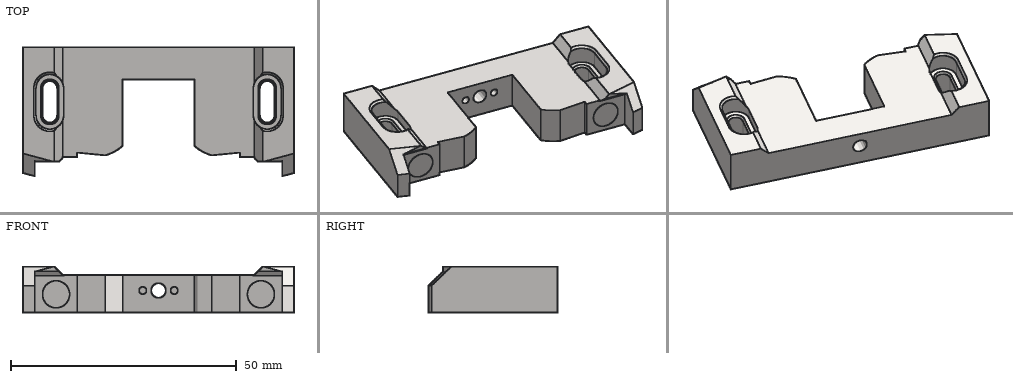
import cadquery as cq
import math

LENGTH = 60.0
DEPTH = 28.6
HEIGHT = 10.2
HALF_LENGTH = LENGTH / 2

PLATE_TOP = 8.4
FRONT_Y = -24.35
STEP_X = -18.0
STEP_Y = -23.4
NOSE_X = -11.75
NOSE_Y = -24.0
NOSE_RADIUS = 10.0
OPENING_HALF_WIDTH = 7.9
OPENING_BACK_Y = -7.2
OPENING_CORNER_Y = -21.9

RAISED_WIDTH = 6.95
LIP_BOTTOM = 8.15
LIP_OVERHANG = 1.0
FINGER_WIDTH = 2.65
FINGER_ANGLE = 15.0
FINGER_CHAMFER = 4.2

SLOT_X = -24.05
SLOT_Y = -12.1
SLOT_CENTRE_DISTANCE = 6.0
SLOT_WIDTH = 3.2
SLOT_CHAMFER = 0.4
RECESS_WIDTH = 6.1
RECESS_CHAMFER = 0.5
RECESS_FLOOR = 6.0

HOLE_Z = 4.9
CENTRE_HOLE_DIAMETER = 3.2
SIDE_HOLE_DIAMETER = 1.6
SIDE_HOLE_DEPTH = 3.0
SIDE_HOLE_X = 3.5

DISC_DIAMETER = 6.0
DISC_THICKNESS = 3.0
DISC_X = 22.7
DISC_Z = 4.1


def make_half_plate():
    """Left half of the flat plate, with half of the opening and one nose."""
    start = (NOSE_X, NOSE_Y)
    end = (-OPENING_HALF_WIDTH, OPENING_CORNER_Y)
    return (
        cq.Workplane("XY")
        .moveTo(0, 0)
        .lineTo(-HALF_LENGTH, 0)
        .lineTo(-HALF_LENGTH, FRONT_Y)
        .lineTo(STEP_X, FRONT_Y)
        .lineTo(STEP_X, STEP_Y)
        .lineTo(*start)
        .radiusArc(end, -NOSE_RADIUS)
        .lineTo(-OPENING_HALF_WIDTH, OPENING_BACK_Y)
        .lineTo(0, OPENING_BACK_Y)
        .close()
        .extrude(PLATE_TOP)
    )


def make_raised_end():
    """Left raised end: sloped inner side, chamfered finger and undercut lip."""
    inner_x = -HALF_LENGTH + RAISED_WIDTH + HEIGHT - LIP_BOTTOM
    slant = math.tan(math.radians(FINGER_ANGLE))
    finger_x = -HALF_LENGTH + FINGER_WIDTH
    outer_end_y = -DEPTH + FINGER_WIDTH * slant
    inner_end_y = outer_end_y - (inner_x + HALF_LENGTH) * slant
    block = (
        cq.Workplane("XY")
        .polyline([(-HALF_LENGTH, 0), (-HALF_LENGTH, outer_end_y), (inner_x, inner_end_y), (inner_x, 0)])
        .close()
        .extrude(HEIGHT)
        .faces(">Z")
        .edges("<Y")
        .chamfer(FINGER_CHAMFER)
    )
    section = (
        cq.Workplane("XZ")
        .polyline([
            (-HALF_LENGTH, 0),
            (-HALF_LENGTH, HEIGHT),
            (-HALF_LENGTH + RAISED_WIDTH, HEIGHT),
            (inner_x, LIP_BOTTOM),
            (inner_x, 0),
        ])
        .close()
        .extrude(-inner_end_y)
    )
    lip_y = FRONT_Y - LIP_OVERHANG
    clearance = (
        cq.Workplane("YZ", origin=(finger_x, 0, 0))
        .polyline([
            (FRONT_Y, 0),
            (FRONT_Y, LIP_BOTTOM),
            (lip_y, LIP_BOTTOM + LIP_OVERHANG),
            (lip_y, HEIGHT),
            (inner_end_y, HEIGHT),
            (inner_end_y, 0),
        ])
        .close()
        .extrude(inner_x - finger_x)
    )
    return block.intersect(section).cut(clearance)


def slot_prism(width, bottom, top, growth=0.0):
    """Upright slot; with growth, its outline widens at 45 degrees on the way up."""
    taper = -math.degrees(math.atan(growth / (top - bottom)))
    return (
        cq.Workplane("XY", origin=(SLOT_X, SLOT_Y, bottom))
        .slot2D(SLOT_CENTRE_DISTANCE + width, width, 90)
        .extrude(top - bottom, taper=taper)
    )


def make_stepped_slot():
    """Cutter for the left slot, its recess and the chamfers on both rims."""
    slot = slot_prism(SLOT_WIDTH, 0, RECESS_FLOOR)
    slot_rim = slot_prism(SLOT_WIDTH, RECESS_FLOOR - SLOT_CHAMFER, RECESS_FLOOR, SLOT_CHAMFER)
    recess = slot_prism(RECESS_WIDTH, RECESS_FLOOR, HEIGHT)
    recess_rim = slot_prism(RECESS_WIDTH, HEIGHT - RECESS_CHAMFER, HEIGHT, RECESS_CHAMFER)
    return slot.union(slot_rim).union(recess).union(recess_rim)


def wall_hole(x, diameter, depth):
    """Hole cutter that runs backwards from the back wall of the opening."""
    return (
        cq.Workplane("XZ", origin=(x, OPENING_BACK_Y, HOLE_Z))
        .circle(diameter / 2)
        .extrude(-depth)
    )


def make_disc(x):
    """Disc flush with the front face; it also cuts its own pocket."""
    return (
        cq.Workplane("XZ", origin=(x, FRONT_Y, DISC_Z))
        .circle(DISC_DIAMETER / 2)
        .extrude(-DISC_THICKNESS)
    )


def make_housing(discs):
    half = make_half_plate().union(make_raised_end()).cut(make_stepped_slot())
    housing = half.union(half.mirror("YZ"))
    housing = housing.cut(wall_hole(0, CENTRE_HOLE_DIAMETER, -OPENING_BACK_Y))
    for x in (-SIDE_HOLE_X, SIDE_HOLE_X):
        housing = housing.cut(wall_hole(x, SIDE_HOLE_DIAMETER, SIDE_HOLE_DEPTH))
    for disc in discs:
        housing = housing.cut(disc)
    return housing


discs = [make_disc(x) for x in (-DISC_X, DISC_X)]
housing = make_housing(discs)

result = cq.Compound.makeCompound([housing.val(), *[disc.val() for disc in discs]])